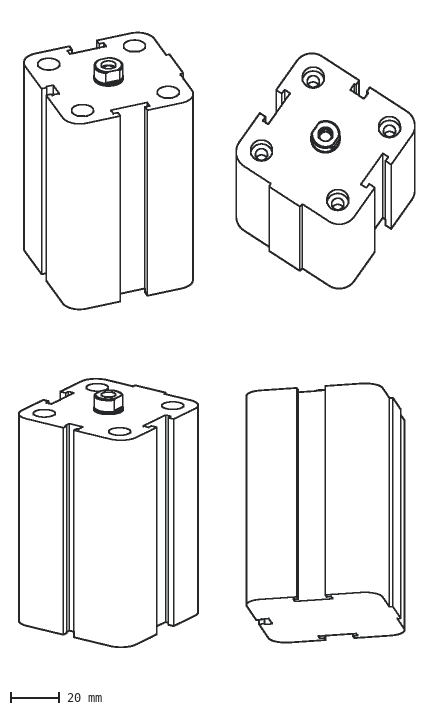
import cadquery as cq

total_height = 97.0
rod_height = 6.5
housing_width = 57.0
total_depth = 58.5
housing_height = total_height - rod_height
half_width = housing_width / 2
corner_radius = 7.5

rail_height = total_depth - housing_width
rail_base_width = 15.8
rail_top_width = 15.2

side_mouth_width = 11.9
side_inner_width = 16.0
side_lip_depth = 2.8
side_slot_depth = 5.5

front_mouth_width = 5.2
front_inner_width = 6.8
front_lip_depth = 2.3
front_slot_depth = 5.4

hole_spacing = 37.8
hole_diameter = 4.9
hole_depth = 14.3
counterbore_diameter = 9.0
counterbore_depth = 5.5

rod_foot_diameter = 12.0
rod_diameter = 11.7
rod_foot_height = 0.7
rod_taper_height = 0.4
flats_width = 10.0
flats_start_height = 1.5
rod_chamfer = 0.5
thread_diameter = 4.9
thread_depth = 4.85
thread_relief_diameter = 6.0
thread_relief_depth = 2.0


def t_slot(mouth_width, inner_width, lip_depth, slot_depth, angle):
    """Full-height T-slot cutter for the -Y face, turned about Z by angle."""
    face = -half_width
    lip = face + lip_depth
    floor = face + slot_depth
    outline = [
        (-mouth_width / 2, face),
        (-mouth_width / 2, lip),
        (-inner_width / 2, lip),
        (-inner_width / 2, floor),
        (inner_width / 2, floor),
        (inner_width / 2, lip),
        (mouth_width / 2, lip),
        (mouth_width / 2, face),
    ]
    cutter = cq.Workplane("XY").polyline(outline).close().extrude(housing_height)
    return cutter.rotate((0, 0, 0), (0, 0, 1), angle)


def make_rail():
    """Full-height rail that stands out from the +Y face."""
    outline = [
        (-rail_base_width / 2, half_width),
        (-rail_top_width / 2, half_width + rail_height),
        (rail_top_width / 2, half_width + rail_height),
        (rail_base_width / 2, half_width),
    ]
    return cq.Workplane("XY").polyline(outline).close().extrude(housing_height)


def make_housing():
    """Rounded square block with a rail, three T-slots and four corner holes."""
    body = (
        cq.Workplane("XY")
        .rect(housing_width, housing_width)
        .extrude(housing_height)
        .edges("|Z")
        .fillet(corner_radius)
        .union(make_rail())
    )
    for angle in (-90, 90):
        body = body.cut(t_slot(side_mouth_width, side_inner_width, side_lip_depth, side_slot_depth, angle))
    body = body.cut(t_slot(front_mouth_width, front_inner_width, front_lip_depth, front_slot_depth, 0))
    return (
        body.faces(">Z")
        .workplane(origin=(0, 0, housing_height))
        .rect(hole_spacing, hole_spacing, forConstruction=True)
        .vertices()
        .cboreHole(hole_diameter, counterbore_diameter, counterbore_depth, hole_depth)
    )


def make_flats():
    """Two cutters that leave the wrench flats on the -X and +X sides of the rod."""
    cutter_width = rod_foot_diameter - flats_width
    cutter_offset = (flats_width + cutter_width) / 2
    return (
        cq.Workplane("XY")
        .workplane(offset=housing_height + flats_start_height)
        .pushPoints([(-cutter_offset, 0), (cutter_offset, 0)])
        .rect(cutter_width, rod_foot_diameter)
        .extrude(rod_height - flats_start_height)
    )


def make_rod():
    """Turned rod end with a slightly wider foot, two wrench flats and a stepped blind hole."""
    foot_top = housing_height + rod_foot_height
    profile = [
        (0, housing_height),
        (rod_foot_diameter / 2, housing_height),
        (rod_foot_diameter / 2, foot_top),
        (rod_diameter / 2, foot_top + rod_taper_height),
        (rod_diameter / 2, total_height - rod_chamfer),
        (rod_diameter / 2 - rod_chamfer, total_height),
        (0, total_height),
    ]
    return (
        cq.Workplane("XZ")
        .polyline(profile)
        .close()
        .revolve(360, (0, 0, 0), (0, 1, 0))
        .cut(make_flats())
        .faces(">Z")
        .workplane(origin=(0, 0, total_height))
        .cboreHole(thread_diameter, thread_relief_diameter, thread_relief_depth, thread_depth)
    )


housing = make_housing()
rod = make_rod()

result = cq.Compound.makeCompound([housing.val(), rod.val()])